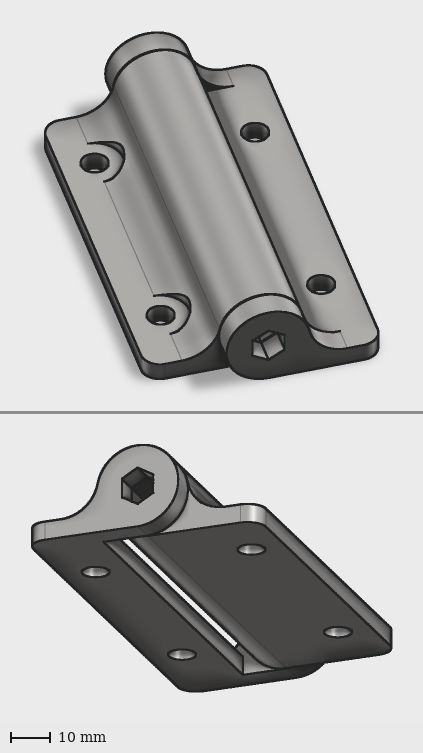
import cadquery as cq
import math

length = 110.0
width = 60.0
knuckle_radius = 11.0
axis_height = knuckle_radius
plate_thickness = 5.0
corner_radius = 5.0
flank_radius = 10.0

ear_length = 6.7
barrel_length = 96.0
plate_clearance = 0.8
ear_spacing = length - 2 * ear_length
fork_plate_edge = knuckle_radius + plate_clearance

hex_across_flats = 8.5
hex_across_corners = hex_across_flats / math.cos(math.pi / 6)

hole_diameter = 7.0
hole_spacing = 60.0
hole_offset = 21.0
spotface_diameter = 15.0

half_width = width / 2
flank_center_z = plate_thickness + flank_radius
flank_rise = flank_center_z - axis_height
center_distance = knuckle_radius + flank_radius
flank_center_y = math.sqrt(center_distance**2 - flank_rise**2)
tangent_y = flank_center_y * knuckle_radius / center_distance
tangent_z = axis_height + flank_rise * knuckle_radius / center_distance
middle_angle = (math.atan2(-flank_rise, -flank_center_y) % (2 * math.pi) + 1.5 * math.pi) / 2
flank_middle = (
    flank_center_y + flank_radius * math.cos(middle_angle),
    flank_center_z + flank_radius * math.sin(middle_angle),
)


def knuckle_and_plate(x_start, x_length, side):
    """Extrude a knuckle whose plate extends to +Y (side = 1) or -Y (side = -1)."""
    return (
        cq.Workplane("YZ", origin=(x_start, 0, 0))
        .moveTo(0, 0)
        .lineTo(side * half_width, 0)
        .lineTo(side * half_width, plate_thickness)
        .lineTo(side * flank_center_y, plate_thickness)
        .threePointArc((side * flank_middle[0], flank_middle[1]), (side * tangent_y, tangent_z))
        .threePointArc((0, axis_height + knuckle_radius), (-side * knuckle_radius, axis_height))
        .threePointArc(
            (-side * knuckle_radius * math.sqrt(0.5), axis_height - knuckle_radius * math.sqrt(0.5)),
            (0, 0),
        )
        .close()
        .extrude(x_length)
    )


def round_outer_corners(leaf, side):
    """Round the two vertical plate corners farthest from the knuckle."""
    outer_face = ">Y" if side > 0 else "<Y"
    return leaf.faces(outer_face).edges("|Z").fillet(corner_radius)


def cut_hex_bore(leaf):
    """Cut the hexagonal bore along the knuckle axis, with corners at top and bottom."""
    bore = (
        cq.Workplane("YZ", origin=(-length / 2, 0, axis_height))
        .transformed(rotate=(0, 0, 90))
        .polygon(6, hex_across_corners)
        .extrude(length)
    )
    return leaf.cut(bore)


def screw_cylinders(diameter, side, z_start, height):
    """Make a vertical cylinder at each screw position of one leaf."""
    centers = [(x, side * hole_offset) for x in (-hole_spacing / 2, hole_spacing / 2)]
    return (
        cq.Workplane("XY", origin=(0, 0, z_start))
        .pushPoints(centers)
        .circle(diameter / 2)
        .extrude(height)
    )


def make_barrel_leaf():
    """Leaf on the -Y side with one long knuckle and spotfaced screw holes."""
    side = -1
    leaf = knuckle_and_plate(-barrel_length / 2, barrel_length, side)
    leaf = round_outer_corners(leaf, side)
    leaf = cut_hex_bore(leaf)
    leaf = leaf.cut(screw_cylinders(spotface_diameter, side, plate_thickness, 2 * knuckle_radius))
    return leaf.cut(screw_cylinders(hole_diameter, side, 0, plate_thickness))


def make_fork_leaf():
    """Leaf on the +Y side with an ear at each end of the barrel."""
    side = 1
    leaf = cq.Workplane("XY").box(
        ear_spacing, half_width - fork_plate_edge, plate_thickness, centered=(True, False, False)
    )
    leaf = leaf.translate((0, fork_plate_edge, 0))
    for x_start in (-length / 2, length / 2 - ear_length):
        leaf = leaf.union(knuckle_and_plate(x_start, ear_length, side))
    leaf = round_outer_corners(leaf.clean(), side)
    leaf = cut_hex_bore(leaf)
    return leaf.cut(screw_cylinders(hole_diameter, side, 0, plate_thickness))


barrel_leaf = make_barrel_leaf()
fork_leaf = make_fork_leaf()

result = cq.Compound.makeCompound([barrel_leaf.solids().val(), fork_leaf.solids().val()])